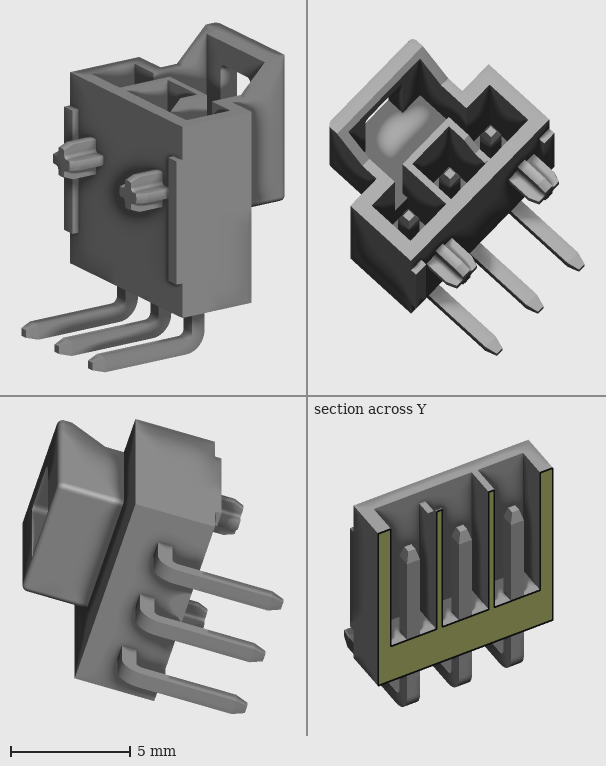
import cadquery as cq

TOTAL_HEIGHT = 12.16
BODY_WIDTH = 8.44
BODY_DEPTH = 3.49
BODY_HEIGHT = 8.46
FRONT_WALL = 0.62
SIDE_WALL = 0.62
FLOOR = 1.95
CAVITY_DEPTH = 2.23
CAVITY_BACK = FRONT_WALL + CAVITY_DEPTH

PITCH = 2.5
PIN_COUNT = 3
PIN_SIZE = 0.63
PIN_Y = BODY_DEPTH / 2
PIN_DROP = 2.24
PIN_REACH = 3.49
PIN_TOP = 6.69
PIN_INNER_RADIUS = 0.29
PIN_OUTER_RADIUS = PIN_INNER_RADIUS + PIN_SIZE
TIP_LENGTH = 0.54
TIP_SIZE = 0.34

HOOD_WIDTH = 5.23
HOOD_BACK = 6.35
HOOD_BOTTOM = 3.49
HOOD_TOP = TOTAL_HEIGHT - PIN_DROP
HOOD_TOP_FRONT = 5.76
HOOD_RISE = HOOD_TOP - BODY_HEIGHT
HOOD_SIDE_WALL = 0.43
HOOD_FLOOR = 0.29
HOOD_BACK_WALL = 0.83
HOOD_EDGE_RADIUS = 0.24
CHANNEL_WIDTH = HOOD_WIDTH - 2 * HOOD_SIDE_WALL
CHANNEL_FLOOR = HOOD_BOTTOM + HOOD_FLOOR
CHANNEL_BACK = HOOD_BACK - HOOD_BACK_WALL
WINDOW_WIDTH = 2.26
WINDOW_TOP = 8.65
WINDOW_RADIUS = 0.3

SLEEVE_WIDTH = 2.82
SLEEVE_WALL = 0.29
SLEEVE_BACK = CAVITY_BACK + SLEEVE_WALL
SLEEVE_SLOPE_BACK = 1.98
SLEEVE_SLOPE_DROP = 0.63

RIB_WIDTH = 0.62
RIB_THICKNESS = 0.29
RIB_BOTTOM = 1.53
RIB_TOP = 6.99

PEG_Z = 5.27
PEG_LENGTH = 1.59
PEG_RADIUS = 0.8
PEG_ARM = 0.44
PEG_FILLET = 0.17
PEG_CHAMFER = 0.17
PEG_CHAMFER_LENGTH = 0.44


def block(x_min, x_max, y_min, y_max, z_min, z_max):
    """Axis-aligned box given by its limits."""
    size = (x_max - x_min, y_max - y_min, z_max - z_min)
    return cq.Workplane("XY").box(*size, centered=False).translate((x_min, y_min, z_min))


def centred_block(width, y_min, y_max, z_min, z_max):
    """Box symmetric about X = 0."""
    return block(-width / 2, width / 2, y_min, y_max, z_min, z_max)


def make_hood():
    """Hood with a 45 degree lead-in at its top and rounded rear and lower edges."""
    slope_foot = HOOD_TOP_FRONT - HOOD_RISE
    outline = [
        (CAVITY_BACK, HOOD_BOTTOM),
        (HOOD_BACK, HOOD_BOTTOM),
        (HOOD_BACK, HOOD_TOP),
        (HOOD_TOP_FRONT, HOOD_TOP),
        (slope_foot, BODY_HEIGHT),
        (CAVITY_BACK, BODY_HEIGHT),
    ]
    hood = cq.Workplane("YZ").polyline(outline).close().extrude(HOOD_WIDTH / 2, both=True)
    return hood.edges("(>Y and |Z) or <Z").edges("not <Y").fillet(HOOD_EDGE_RADIUS)


def make_window():
    """Opening through the rear wall of the hood, rounded at its upper corners."""
    window = centred_block(WINDOW_WIDTH, CHANNEL_BACK, HOOD_BACK, CHANNEL_FLOOR, WINDOW_TOP)
    return window.edges("|Y and >Z").fillet(WINDOW_RADIUS)


def make_sleeve():
    """Square tube around the middle contact, its right wall cut down towards the front."""
    sleeve = centred_block(SLEEVE_WIDTH, FRONT_WALL, SLEEVE_BACK, FLOOR, BODY_HEIGHT)
    bore_width = SLEEVE_WIDTH - 2 * SLEEVE_WALL
    sleeve = sleeve.cut(centred_block(bore_width, FRONT_WALL, CAVITY_BACK, FLOOR, BODY_HEIGHT))
    low_level = BODY_HEIGHT - SLEEVE_SLOPE_DROP
    relief = (
        cq.Workplane("YZ")
        .polyline([
            (FRONT_WALL, BODY_HEIGHT),
            (SLEEVE_SLOPE_BACK, BODY_HEIGHT),
            (SLEEVE_SLOPE_BACK - SLEEVE_SLOPE_DROP, low_level),
            (FRONT_WALL, low_level),
        ])
        .close()
        .extrude(SLEEVE_WIDTH / 2)
    )
    return sleeve.cut(relief)


def make_housing():
    """Body and hood, hollowed from the top, with the sleeve standing inside."""
    body = centred_block(BODY_WIDTH, 0, BODY_DEPTH, 0, BODY_HEIGHT).union(make_hood())
    cavity_width = BODY_WIDTH - 2 * SIDE_WALL
    body = body.cut(centred_block(cavity_width, FRONT_WALL, CAVITY_BACK, FLOOR, BODY_HEIGHT))
    body = body.cut(centred_block(CHANNEL_WIDTH, FRONT_WALL, CHANNEL_BACK, CHANNEL_FLOOR, HOOD_TOP))
    return body.cut(make_window()).union(make_sleeve())


def make_rib(side):
    """Standoff rib flush with the left (-1) or right (+1) side."""
    centre = side * (BODY_WIDTH - RIB_WIDTH) / 2
    rib = centred_block(RIB_WIDTH, -RIB_THICKNESS, 0, RIB_BOTTOM, RIB_TOP)
    return rib.translate((centre, 0, 0))


def make_peg():
    """Cross with filleted inner corners, trimmed by a cylinder with a tapered end."""
    span = 2 * PEG_RADIUS
    front = cq.Workplane("XZ")
    cross = front.rect(span, PEG_ARM).extrude(PEG_LENGTH)
    cross = cross.union(front.rect(PEG_ARM, span).extrude(PEG_LENGTH))
    inner_corners = cq.selectors.BoxSelector(
        (-PEG_ARM, -PEG_LENGTH, -PEG_ARM), (PEG_ARM, 0, PEG_ARM)
    )
    cross = cross.edges("|Y").edges(inner_corners).fillet(PEG_FILLET)
    envelope = (
        front.circle(PEG_RADIUS)
        .extrude(PEG_LENGTH)
        .faces("<Y")
        .chamfer(PEG_CHAMFER_LENGTH, PEG_CHAMFER)
    )
    return cross.intersect(envelope)


def make_tip():
    """Tapered square contact end pointing up from Z = 0."""
    return (
        cq.Workplane("XY")
        .rect(PIN_SIZE, PIN_SIZE)
        .workplane(offset=TIP_LENGTH)
        .rect(TIP_SIZE, TIP_SIZE)
        .loft()
    )


def make_pin():
    """Right-angle contact, upright in the housing and leaving forwards below it."""
    half = PIN_SIZE / 2
    back = PIN_Y + half
    inner = PIN_Y - half
    tail_bottom = -PIN_DROP
    tail_top = tail_bottom + PIN_SIZE
    tail_end = -PIN_REACH + TIP_LENGTH
    shank_top = PIN_TOP - TIP_LENGTH
    bar = (
        cq.Workplane("YZ")
        .moveTo(inner, shank_top)
        .lineTo(back, shank_top)
        .lineTo(back, tail_bottom + PIN_OUTER_RADIUS)
        .radiusArc((back - PIN_OUTER_RADIUS, tail_bottom), PIN_OUTER_RADIUS)
        .lineTo(tail_end, tail_bottom)
        .lineTo(tail_end, tail_top)
        .lineTo(inner - PIN_INNER_RADIUS, tail_top)
        .radiusArc((inner, tail_top + PIN_INNER_RADIUS), -PIN_INNER_RADIUS)
        .close()
        .extrude(half, both=True)
    )
    upper_tip = make_tip().translate((0, PIN_Y, shank_top))
    tail_tip = make_tip().rotate((0, 0, 0), (1, 0, 0), 90)
    tail_tip = tail_tip.translate((0, tail_end, tail_bottom + half))
    return bar.union(upper_tip).union(tail_tip)


result = make_housing()

for side in (-1, 1):
    result = result.union(make_rib(side))
    result = result.union(make_peg().translate((side * PITCH, 0, PEG_Z)))

for index in range(PIN_COUNT):
    pin_x = (index - (PIN_COUNT - 1) / 2) * PITCH
    result = result.union(make_pin().translate((pin_x, 0, 0)))